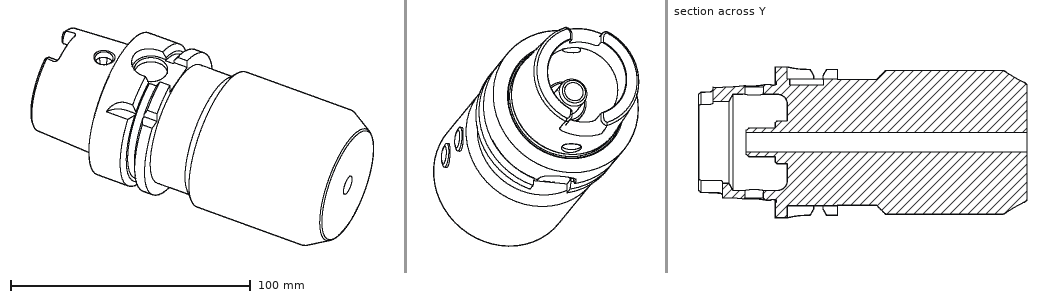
import cadquery as cq
import math


shank_length = 32.0
shank_large_radius = 24.22
taper_end = -2.2
taper_per_radius = 1 / 20
shank_small_radius = shank_large_radius - (shank_length + taper_end) * taper_per_radius
shank_chamfer = 1.0
neck_radius = 23.9
neck_start = -1.3
neck_flare_start = -0.6
neck_root_radius = 24.2
relief_radius = 25.3
relief_floor_radius = 24.85
relief_depth = 0.5

flange_radius = 31.5
flange_length = 26.0
groove_center = 18.0
groove_width = 3.75
groove_radius = 27.5
groove_mouth_width = 6.8
groove_wall_radius = flange_radius - (groove_mouth_width - groove_width) / 2 * math.tan(math.radians(60))

neck_body_radius = 52.5 / 2
body_radius = 30.0
shoulder_end = 46.0
shoulder_start = shoulder_end - (body_radius - neck_body_radius)
total_length = 137.0
nose_end = total_length - shank_length
nose_start = 95.4
nose_angle = math.radians(30)
nose_edge_length = 0.4
nose_edge_drop = 0.12
nose_end_radius = 48 / 2
nose_chamfer_length = 0.65
nose_chamfer_start = nose_end - nose_chamfer_length
nose_chamfer_radius = body_radius - nose_edge_drop - (nose_chamfer_start - nose_start) * math.tan(nose_angle)

mouth_radius = 34 / 2
mouth_chamfer = 0.25
flare_start = -19.3
chamber_radius = 40 / 2
flare_end = flare_start + (chamber_radius - mouth_radius) / math.tan(math.radians(60))
chamber_floor = 5.0
chamber_fillet = 4.0

nut_radius = 18 / 2
nut_face = 0.0
nut_chamfer = 0.8
tube_radius = 12 / 2
tube_tip = -12.25
tube_tip_radius = 10 / 2
tube_taper_length = 1.3
coolant_radius = 8 / 2

slot_half_width = 12.5 / 2
slot_flare_radius = 3.0
slot_straight_height = 18.0
slot_flare_height = slot_straight_height + slot_flare_radius
slot_flare_half_width = slot_half_width + slot_flare_radius
slot_floor_fillet = 1.5
top_slot_depth = 6.0
bottom_slot_depth = 10.0

access_x = -8.8
access_radius = 7.5 / 2
access_mouth_radius = 9.0 / 2

key_x = 13.1
key_radius = 8.0
key_floor = 26.5
chip_radius = 14 / 2
chip_depth = 2.5
notch_x = 12.1
notch_corner = 19.9
notch_radius = 8.5

screw_positions = (55.2, 75.2)
screw_radius = 10 / 2
screw_top = 31.2
screw_top_radius = 7.5 / 2
screw_chamfer_height = 0.7
screw_seat = 25.0

clearance = 10.0


def revolve_about_axis(points):
    """Revolve a closed (x, radius) outline around the X axis, its seam on the plain -Y side."""
    outline = [(x, -radius) for x, radius in points]
    return cq.Workplane("XY").polyline(outline).close().revolve(360, (0, 0, 0), (1, 0, 0))


def make_outside():
    half_groove = groove_width / 2
    half_mouth = groove_mouth_width / 2
    return revolve_about_axis([
        (-shank_length, 0),
        (-shank_length, shank_small_radius - shank_chamfer),
        (-shank_length + shank_chamfer, shank_small_radius + shank_chamfer * taper_per_radius),
        (taper_end, shank_large_radius),
        (neck_start, neck_radius),
        (neck_flare_start, neck_radius),
        (relief_depth, neck_root_radius),
        (relief_depth, relief_floor_radius),
        (0, relief_radius),
        (0, flange_radius),
        (groove_center - half_mouth, flange_radius),
        (groove_center - half_groove, groove_wall_radius),
        (groove_center - half_groove, groove_radius),
        (groove_center + half_groove, groove_radius),
        (groove_center + half_groove, groove_wall_radius),
        (groove_center + half_mouth, flange_radius),
        (flange_length, flange_radius),
        (flange_length, neck_body_radius),
        (shoulder_start, neck_body_radius),
        (shoulder_end, body_radius),
        (nose_start - nose_edge_length, body_radius),
        (nose_start, body_radius - nose_edge_drop),
        (nose_chamfer_start, nose_chamfer_radius),
        (nose_end, nose_end_radius),
        (nose_end, 0),
    ])


def make_chamber():
    """Bore of the shank: straight mouth, flare and wider chamber with a rounded floor."""
    chamber = revolve_about_axis([
        (-shank_length - clearance, 0),
        (-shank_length - clearance, mouth_radius + mouth_chamfer),
        (-shank_length, mouth_radius + mouth_chamfer),
        (-shank_length + mouth_chamfer, mouth_radius),
        (flare_start, mouth_radius),
        (flare_end, chamber_radius),
        (chamber_floor, chamber_radius),
        (chamber_floor, 0),
    ])
    return chamber.faces(">X").edges().fillet(chamber_fillet)


def make_coolant_tube():
    """Chamfered nut carrying a tube with a tapered tip."""
    return revolve_about_axis([
        (chamber_floor, 0),
        (chamber_floor, nut_radius),
        (nut_face + nut_chamfer, nut_radius),
        (nut_face, nut_radius - nut_chamfer),
        (nut_face, tube_radius),
        (tube_tip + tube_taper_length, tube_radius),
        (tube_tip, tube_tip_radius),
        (tube_tip, 0),
    ])


def draw_slot_outline():
    """Drive slot outline open to +Z, its walls flaring outwards in an arc."""
    bend = slot_flare_radius * math.sqrt(0.5)
    bend_y = slot_flare_half_width - bend
    bend_z = slot_straight_height + bend
    open_height = slot_flare_height + clearance
    return (
        cq.Workplane("YZ", origin=(-shank_length + shank_chamfer, 0, 0))
        .moveTo(-slot_half_width, 0)
        .lineTo(slot_half_width, 0)
        .lineTo(slot_half_width, slot_straight_height)
        .threePointArc((bend_y, bend_z), (slot_flare_half_width, slot_flare_height))
        .lineTo(slot_flare_half_width, open_height)
        .lineTo(-slot_flare_half_width, open_height)
        .lineTo(-slot_flare_half_width, slot_flare_height)
        .threePointArc((-bend_y, bend_z), (-slot_half_width, slot_straight_height))
        .close()
    )


def make_drive_slot(depth):
    """Cutter for a drive slot with a filleted floor and a chamfered entry."""
    slot = draw_slot_outline().extrude(depth - shank_chamfer)
    side_walls = cq.selectors.BoxSelector(
        (-shank_length, -slot_flare_half_width, slot_floor_fillet),
        (0, slot_flare_half_width, slot_flare_height),
    )
    slot = slot.faces(">X").edges(side_walls).fillet(slot_floor_fillet)
    return slot.union(draw_slot_outline().extrude(-shank_chamfer, taper=-45))


def make_access_hole():
    """Cutter for one access hole, countersunk where it leaves the taper, on the +Z side."""
    surface = shank_large_radius + (access_x - taper_end) * taper_per_radius
    sink_depth = access_mouth_radius - access_radius
    return (
        cq.Workplane("YZ", origin=(access_x, 0, 0))
        .moveTo(0, mouth_radius / 2)
        .lineTo(access_radius, mouth_radius / 2)
        .lineTo(access_radius, surface - sink_depth)
        .lineTo(access_radius + 2 * sink_depth, surface + sink_depth)
        .lineTo(0, surface + sink_depth)
        .close()
        .revolve(360, (0, 0, 0), (0, 1, 0))
    )


def make_key_slot():
    """Cutter for a flat-floored slot on the +Z side, round at its shank end."""
    plane = cq.Workplane("XY", origin=(0, 0, key_floor))
    run_out = flange_length - key_x
    straight = plane.center(key_x + run_out / 2, 0).rect(run_out, 2 * key_radius).extrude(clearance)
    return plane.center(key_x, 0).circle(key_radius).extrude(clearance).union(straight)


def make_chip_pocket():
    plane = cq.Workplane("XY", origin=(key_x, 0, key_floor - chip_depth))
    return plane.circle(chip_radius).extrude(chip_depth + clearance)


def make_orientation_notch():
    """Cutter for the corner notch on the -Y +Z side, milled with a vertical end mill."""
    center_y = -notch_corner - notch_radius
    run_out = flange_length - notch_x
    plane = cq.Workplane("XY", origin=(0, 0, notch_corner))
    end = plane.center(notch_x, center_y).circle(notch_radius).extrude(clearance)
    straight = (
        plane.center(notch_x + run_out / 2, center_y)
        .rect(run_out, 2 * notch_radius)
        .extrude(clearance)
    )
    return end.union(straight)


def make_screw(x):
    """Clamping screw whose chamfered head stands proud of the +Y side."""
    return (
        cq.Workplane("XY", origin=(x, 0, 0))
        .moveTo(0, screw_seat)
        .lineTo(screw_radius, screw_seat)
        .lineTo(screw_radius, screw_top - screw_chamfer_height)
        .lineTo(screw_top_radius, screw_top)
        .lineTo(0, screw_top)
        .close()
        .revolve(360, (0, 0, 0), (0, 1, 0))
    )


def upside_down(shape):
    """Copy a shape to the opposite side by half a turn about X."""
    return shape.rotate((0, 0, 0), (1, 0, 0), 180)


def make_coolant_bore():
    plane = cq.Workplane("YZ", origin=(-shank_length, 0, 0))
    return plane.circle(coolant_radius).extrude(total_length)


body = make_outside()
for screw_x in screw_positions:
    body = body.union(make_screw(screw_x))

body = body.cut(make_chamber()).union(make_coolant_tube()).cut(make_coolant_bore())
body = body.cut(make_drive_slot(top_slot_depth))
body = body.cut(upside_down(make_drive_slot(bottom_slot_depth)))

for cutter in (make_access_hole(), make_key_slot()):
    body = body.cut(cutter).cut(upside_down(cutter))

result = body.cut(make_chip_pocket()).cut(make_orientation_notch())